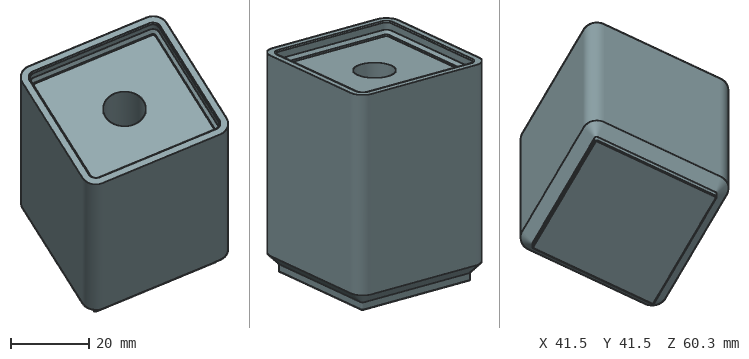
import cadquery as cq

width = 41.5
height = 60.3
corner_radius = 3.85
foot_inset = 3.15
foot_corner_radius = 0.55
foot_wall_height = 1.9
foot_edge_chamfer = 0.25

mouth_inset = 1.9
wall_inset = 2.3
floor_inset = 3.2
recess_depth = 3.8
floor_step_height = 0.55
floor_corner_radius = 0.85

hole_diameter = 11.0
hole_depth = 36.2


def rounded_square(inset, radius):
    """Square outline inset from the block sides, with rounded corners."""
    side = width - 2 * inset
    return cq.Sketch().rect(side, side).vertices().fillet(radius)


def prism(inset, radius, bottom, top):
    """Straight solid with an inset outline."""
    outline = rounded_square(inset, radius)
    return cq.Workplane("XY", origin=(0, 0, bottom)).placeSketch(outline).extrude(top - bottom)


def taper(bottom_inset, bottom_radius, bottom, top_inset, top_radius, top):
    """Sloped solid between two inset outlines."""
    lower = rounded_square(bottom_inset, bottom_radius)
    upper = rounded_square(top_inset, top_radius).moved(cq.Location(cq.Vector(0, 0, top - bottom)))
    return cq.Workplane("XY", origin=(0, 0, bottom)).placeSketch(lower, upper).loft()


def make_block():
    foot_shoulder = foot_edge_chamfer + foot_wall_height
    body_bottom = foot_shoulder + foot_inset
    edge_inset = foot_inset + foot_edge_chamfer
    edge_radius = foot_corner_radius - foot_edge_chamfer
    foot_edge = taper(edge_inset, edge_radius, 0, foot_inset, foot_corner_radius, foot_edge_chamfer)
    foot = prism(foot_inset, foot_corner_radius, foot_edge_chamfer, foot_shoulder)
    shoulder = taper(foot_inset, foot_corner_radius, foot_shoulder, 0, corner_radius, body_bottom)
    body = prism(0, corner_radius, body_bottom, height)
    return foot_edge.union(foot).union(shoulder).union(body)


def make_recess():
    floor = height - recess_depth
    step_top = floor + floor_step_height
    wall_bottom = step_top + floor_inset - wall_inset
    wall_top = height - (wall_inset - mouth_inset)
    wall_radius = floor_corner_radius + floor_inset - wall_inset
    mouth_radius = floor_corner_radius + floor_inset - mouth_inset
    step = prism(floor_inset, floor_corner_radius, floor, step_top)
    slope = taper(floor_inset, floor_corner_radius, step_top, wall_inset, wall_radius, wall_bottom)
    wall = prism(wall_inset, wall_radius, wall_bottom, wall_top)
    mouth = taper(wall_inset, wall_radius, wall_top, mouth_inset, mouth_radius, height)
    return step.union(slope).union(wall).union(mouth)


def make_hole():
    bottom = height - recess_depth - hole_depth
    return cq.Workplane("XY", origin=(0, 0, bottom)).circle(hole_diameter / 2).extrude(hole_depth)


result = make_block().cut(make_recess()).cut(make_hole())